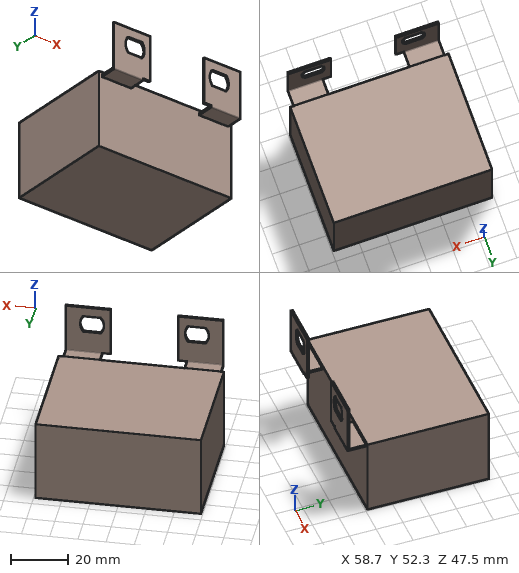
import cadquery as cq

HOUSING_LENGTH = 58.7
HOUSING_DEPTH = 45.4
HOUSING_HEIGHT = 30.45

OVERALL_DEPTH = 52.3
OVERALL_HEIGHT = 47.5

SHEET_THICKNESS = 0.75
INNER_BEND_RADIUS = 0.1
OUTER_BEND_RADIUS = 0.25
TERMINAL_INSET = 1.4
TAB_WIDTH = 15.95
FOOT_WIDTH = 12.9
FOOT_DROP = 1.2

HOLE_LENGTH = 8.4
HOLE_HEIGHT = 6.35
HOLE_FLAT_LENGTH = 6.05
HOLE_OFFSET = 9.35
HOLE_DROP = 6.85

HOUSING_FRONT = -HOUSING_DEPTH / 2
TAB_FRONT = HOUSING_DEPTH / 2 - OVERALL_DEPTH
TAB_BACK = TAB_FRONT + SHEET_THICKNESS
FOOT_TOP = HOUSING_HEIGHT - FOOT_DROP
FOOT_BOTTOM = FOOT_TOP - SHEET_THICKNESS
TERMINAL_OUTER_X = -HOUSING_LENGTH / 2 + TERMINAL_INSET


def make_housing():
    """Plain rectangular case standing on Z = 0."""
    return cq.Workplane("XY").box(
        HOUSING_LENGTH, HOUSING_DEPTH, HOUSING_HEIGHT, centered=(True, True, False)
    )


def make_tab_hole():
    """Cutter for the bowed-end hole, passing through the tab along Y."""
    center_x = TERMINAL_OUTER_X + HOLE_OFFSET
    center_z = OVERALL_HEIGHT - HOLE_DROP
    half_flat = HOLE_FLAT_LENGTH / 2
    half_length = HOLE_LENGTH / 2
    half_height = HOLE_HEIGHT / 2
    return (
        cq.Workplane("XZ", origin=(center_x, TAB_BACK, center_z))
        .moveTo(-half_flat, -half_height)
        .lineTo(half_flat, -half_height)
        .threePointArc((half_length, 0), (half_flat, half_height))
        .lineTo(-half_flat, half_height)
        .threePointArc((-half_length, 0), (-half_flat, -half_height))
        .close()
        .extrude(SHEET_THICKNESS)
    )


def make_left_terminal():
    """L-shaped terminal: a narrow foot on the housing front and a wider upright tab."""
    inner_corner = (TERMINAL_OUTER_X + FOOT_WIDTH / 2, TAB_BACK, FOOT_TOP)
    angle = (
        cq.Workplane("YZ", origin=(TERMINAL_OUTER_X, 0, 0))
        .moveTo(HOUSING_FRONT, FOOT_BOTTOM)
        .lineTo(TAB_FRONT, FOOT_BOTTOM)
        .lineTo(TAB_FRONT, OVERALL_HEIGHT)
        .lineTo(TAB_BACK, OVERALL_HEIGHT)
        .lineTo(TAB_BACK, FOOT_TOP)
        .lineTo(HOUSING_FRONT, FOOT_TOP)
        .close()
        .extrude(FOOT_WIDTH)
        .edges(cq.selectors.NearestToPointSelector(inner_corner))
        .fillet(INNER_BEND_RADIUS)
        .edges("|X and <Y and <Z")
        .fillet(OUTER_BEND_RADIUS)
    )
    wide_tab = cq.Workplane("XY").box(
        TAB_WIDTH, SHEET_THICKNESS, OVERALL_HEIGHT - FOOT_TOP, centered=False
    ).translate((TERMINAL_OUTER_X, TAB_FRONT, FOOT_TOP))
    return angle.union(wide_tab).cut(make_tab_hole())


housing = make_housing()
left_terminal = make_left_terminal()
terminals = [left_terminal, left_terminal.mirror("YZ")]

result = cq.Compound.makeCompound([housing.val(), *[terminal.val() for terminal in terminals]])